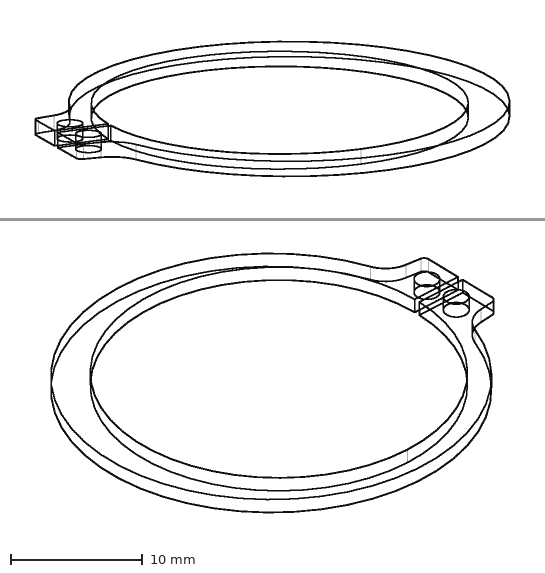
import cadquery as cq
import math

thickness = 1.2
outer_radius = 16.693
bore_radius = 14.3
bore_offset = 0.8

total_length = 36.25
lug_end_y = outer_radius - total_length
lug_end_half_width = 3.95
lug_taper_angle = 6.5
lug_root_radius = 2.6
lug_corner_radius = 0.45
gap_width = 0.5

hole_diameter = 1.95
hole_spacing = 3.25
hole_y = -17.6


def make_ring_blank():
    return cq.Workplane("XY").circle(outer_radius).extrude(thickness)


def make_lug_blank():
    """Tapered block reaching from the lug ends into the ring blank."""
    inner_y = -bore_radius
    inner_half_width = lug_end_half_width + (inner_y - lug_end_y) * math.tan(math.radians(lug_taper_angle))
    return (
        cq.Workplane("XY")
        .moveTo(-lug_end_half_width, lug_end_y)
        .lineTo(lug_end_half_width, lug_end_y)
        .lineTo(inner_half_width, inner_y)
        .lineTo(-inner_half_width, inner_y)
        .close()
        .extrude(thickness)
    )


def round_lugs(body):
    """Blend the lug roots into the rim and round the outer lug corners."""
    end_limit = lug_end_y + lug_corner_radius
    corners = cq.selectors.BoxSelector(
        (-outer_radius, lug_end_y - lug_corner_radius, -thickness),
        (outer_radius, end_limit, 2 * thickness),
    )
    roots = cq.selectors.BoxSelector(
        (-outer_radius, end_limit, -thickness),
        (outer_radius, -bore_radius, 2 * thickness),
    )
    body = body.edges("|Z").edges(roots).fillet(lug_root_radius)
    return body.edges("|Z").edges(corners).fillet(lug_corner_radius)


def make_bore():
    return cq.Workplane("XY").center(0, -bore_offset).circle(bore_radius).extrude(thickness)


def make_gap():
    """Slot from the ring centre out through the lug ends."""
    return cq.Workplane("XY").center(0, lug_end_y / 2).rect(gap_width, -lug_end_y).extrude(thickness)


def make_plier_holes():
    return (
        cq.Workplane("XY")
        .pushPoints([(side * hole_spacing / 2, hole_y) for side in (-1, 1)])
        .circle(hole_diameter / 2)
        .extrude(thickness)
    )


blank = round_lugs(make_ring_blank().union(make_lug_blank()))
result = blank.cut(make_bore()).cut(make_gap()).cut(make_plier_holes())